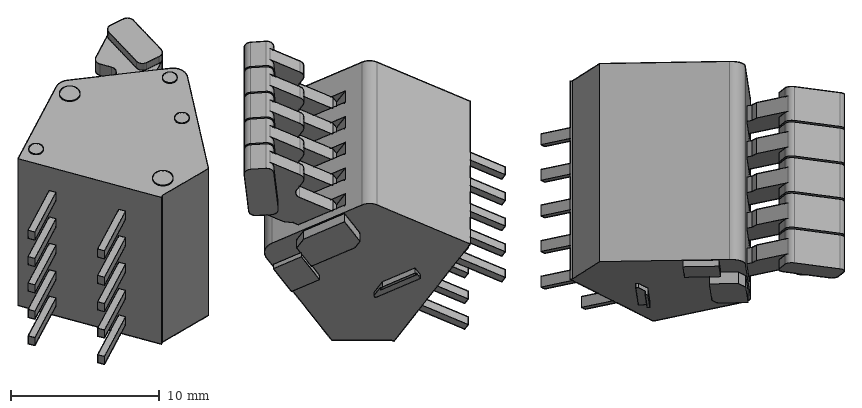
import cadquery as cq
import math


TILT = math.radians(30)
SIN = math.sin(TILT)
COS = math.cos(TILT)
TAN = math.tan(TILT)
OVERLAP = 0.2

HOUSING_HEIGHT = 14.1
BASE_WIDTH = 10.32
BASE_LIP = 0.2
NOSE_Y = 3.68
LEFT_SIDE = 7.83
CORNER_RADIUS = 1.0

POLES = 5
POLE_PITCH = 2.53

PIN_LENGTH = 4.0
PIN_WIDTH = 0.5
PIN_HEIGHT = 0.78
PIN_COLUMNS = (2.5, 7.5)
FIRST_PIN_Z = 1.33

FIRST_LEVER_Z = 1.27
HEAD_CENTER = (2.9, 14.57)
HEAD_LENGTH = 4.3
HEAD_WIDTH = 2.0
HEAD_HEIGHT = 2.41
HEAD_TILT = 35.0
LEVER_RADIUS = 0.5
STEM_THICKNESS = 1.1
STEM_LEFT = 2.58
STEM_RIGHT = 4.8
STEM_ROOT_Y = 8.18
HOOK_Y = 12.28
TAPER_TOP = 11.55
TAPER_BOTTOM = 11.02
NOTCH_BOTTOM_Y = 8.77
NOTCH_TOP_Y = 9.18

PAD_HEIGHT = 0.08
SMALL_PAD_DIAMETER = 1.0
SMALL_PADS = [(6.87, 10.73), (8.97, 7.46), (0.84, 1.25)]
LARGE_PAD_DIAMETER = 1.4
LARGE_PADS = [(1.1, 6.93), (9.8, 1.7)]

MAIN_KEY_DEPTH = 0.82
MAIN_KEY_LEFT = (1.78, 8.75)
MAIN_KEY_FRONT_Y = 6.95
MAIN_KEY_BACK_Y = 10.35
MAIN_KEY_FLAT = 0.67
MAIN_KEY_RIGHT_X = 6.44
SIDE_KEY_DEPTH = 0.43
SIDE_KEY_FRONT = (7.55, 7.38)
SIDE_KEY_LENGTH = 2.19
SIDE_KEY_WIDTH = 2.43
FRONT_KEY_LEFT = (3.76, 2.15)
FRONT_KEY_BACK_Y = 3.41
FRONT_KEY_DEPTH = 0.3
FRONT_KEY_WIDTH = 0.78
FRONT_KEY_RIGHT_X = 7.22
RIDGE_DEPTH = 0.51
RIDGE_WIDTH = 0.18
RIDGE_RIGHT_X = 6.25


def along(point, distance):
    """Move a point parallel to the slanted back face."""
    return (point[0] + distance * COS, point[1] + distance * SIN)


def across(point, distance):
    """Move a point square to the slanted back face, towards the back."""
    return (point[0] - distance * SIN, point[1] + distance * COS)


def along_to_x(point, x):
    return along(point, (x - point[0]) / COS)


def along_to_y(point, y):
    return along(point, (y - point[1]) / SIN)


def across_to_y(point, y):
    return across(point, (y - point[1]) / COS)


def slab(points, bottom, top):
    return cq.Workplane("XY").workplane(offset=bottom).polyline(points).close().extrude(top - bottom)


def make_housing():
    nose_x = BASE_WIDTH + (NOSE_Y - BASE_LIP) * TAN
    peak_x = (NOSE_Y + nose_x / TAN - LEFT_SIDE) / (TAN + 1 / TAN)
    peak_y = LEFT_SIDE + peak_x * TAN
    outline = [
        (0, 0),
        (BASE_WIDTH, 0),
        (BASE_WIDTH, BASE_LIP),
        (nose_x, NOSE_Y),
        (peak_x, peak_y),
        (0, LEFT_SIDE),
    ]
    rounded_corners = cq.selectors.BoxSelector(
        (-0.2, LEFT_SIDE - 0.2, 0), (peak_x + 0.2, peak_y + 0.2, HOUSING_HEIGHT)
    )
    return slab(outline, 0, HOUSING_HEIGHT).edges("|Z").edges(rounded_corners).fillet(CORNER_RADIUS)


def make_pin(x, z):
    return cq.Workplane("XY").box(PIN_WIDTH, PIN_LENGTH + OVERLAP, PIN_HEIGHT).translate(
        (x, (OVERLAP - PIN_LENGTH) / 2, z)
    )


def make_head():
    return (
        cq.Workplane("XY")
        .box(HEAD_LENGTH, HEAD_WIDTH, HEAD_HEIGHT)
        .edges("|Z")
        .fillet(LEVER_RADIUS)
        .rotate((0, 0, 0), (0, 0, 1), -HEAD_TILT)
        .translate((*HEAD_CENTER, 0))
    )


def make_stem():
    """Stem whose upper sides run tangent into the rounded ends of the head."""
    tilt = math.radians(HEAD_TILT)
    half_length = HEAD_LENGTH / 2 - LEVER_RADIUS
    half_width = HEAD_WIDTH / 2 - LEVER_RADIUS
    reach = half_length * math.cos(tilt) + half_width * math.sin(tilt) + LEVER_RADIUS
    rise = half_length * math.sin(tilt) - half_width * math.cos(tilt)
    center_x, center_y = HEAD_CENTER
    left = center_x - reach
    right = center_x + reach
    return (
        cq.Workplane("XY")
        .workplane(offset=-STEM_THICKNESS / 2)
        .moveTo(left, center_y + rise)
        .lineTo(left, HOOK_Y + LEVER_RADIUS)
        .radiusArc((left + LEVER_RADIUS, HOOK_Y), -LEVER_RADIUS)
        .lineTo(STEM_LEFT - LEVER_RADIUS, HOOK_Y)
        .radiusArc((STEM_LEFT, HOOK_Y - LEVER_RADIUS), LEVER_RADIUS)
        .lineTo(STEM_LEFT, STEM_ROOT_Y)
        .lineTo(STEM_RIGHT, STEM_ROOT_Y)
        .lineTo(STEM_RIGHT, TAPER_BOTTOM)
        .lineTo(right, TAPER_TOP)
        .lineTo(right, center_y - rise)
        .close()
        .extrude(STEM_THICKNESS)
    )


def make_notch():
    """Wedge of clearance where the stem enters the slanted back face."""
    step = NOTCH_TOP_Y - NOTCH_BOTTOM_Y
    mouth_bottom = along_to_y((0, LEFT_SIDE), NOTCH_BOTTOM_Y)
    mouth_top = along_to_x((0, LEFT_SIDE), STEM_LEFT)
    wedge = [
        mouth_bottom,
        (STEM_LEFT + step * TAN, NOTCH_BOTTOM_Y),
        (STEM_LEFT, NOTCH_TOP_Y),
        mouth_top,
        across(mouth_top, OVERLAP),
        across(mouth_bottom, OVERLAP),
    ]
    return slab(wedge, -STEM_THICKNESS / 2, STEM_THICKNESS / 2)


def make_pads(centers, diameter):
    return (
        cq.Workplane("XY")
        .workplane(offset=HOUSING_HEIGHT - OVERLAP)
        .pushPoints(centers)
        .circle(diameter / 2)
        .extrude(OVERLAP + PAD_HEIGHT)
    )


def make_main_key():
    """Tilted block with its front and back corners cut off flat."""
    front_left = across_to_y(MAIN_KEY_LEFT, MAIN_KEY_FRONT_Y)
    front_right = (front_left[0] + MAIN_KEY_FLAT, MAIN_KEY_FRONT_Y)
    right = along_to_x(front_right, MAIN_KEY_RIGHT_X)
    outline = [
        MAIN_KEY_LEFT,
        front_left,
        front_right,
        right,
        across_to_y(right, MAIN_KEY_BACK_Y),
        along_to_y(MAIN_KEY_LEFT, MAIN_KEY_BACK_Y),
    ]
    return slab(outline, -MAIN_KEY_DEPTH, OVERLAP)


def make_side_key():
    right = along(SIDE_KEY_FRONT, SIDE_KEY_LENGTH)
    outline = [
        SIDE_KEY_FRONT,
        right,
        across(right, SIDE_KEY_WIDTH),
        across(SIDE_KEY_FRONT, SIDE_KEY_WIDTH),
    ]
    return slab(outline, -SIDE_KEY_DEPTH, OVERLAP)


def make_front_bar(width, right_x, depth):
    """Tilted bar at the front key position, its back end cut off flat."""
    front = across(FRONT_KEY_LEFT, -width)
    right = along_to_x(front, right_x)
    outline = [
        FRONT_KEY_LEFT,
        front,
        right,
        across_to_y(right, FRONT_KEY_BACK_Y),
        along_to_y(FRONT_KEY_LEFT, FRONT_KEY_BACK_Y),
    ]
    return slab(outline, -depth, OVERLAP)


result = make_housing()

for pole in range(POLES):
    lever_z = FIRST_LEVER_Z + pole * POLE_PITCH
    pin_z = FIRST_PIN_Z + pole * POLE_PITCH
    result = result.union(make_stem().union(make_head()).translate((0, 0, lever_z)))
    result = result.cut(make_notch().translate((0, 0, lever_z)))
    for column_x in PIN_COLUMNS:
        result = result.union(make_pin(column_x, pin_z))

result = result.union(make_pads(SMALL_PADS, SMALL_PAD_DIAMETER))
result = result.union(make_pads(LARGE_PADS, LARGE_PAD_DIAMETER))

result = result.union(make_main_key())
result = result.union(make_side_key())
result = result.union(make_front_bar(FRONT_KEY_WIDTH, FRONT_KEY_RIGHT_X, FRONT_KEY_DEPTH))
result = result.union(make_front_bar(RIDGE_WIDTH, RIDGE_RIGHT_X, RIDGE_DEPTH))